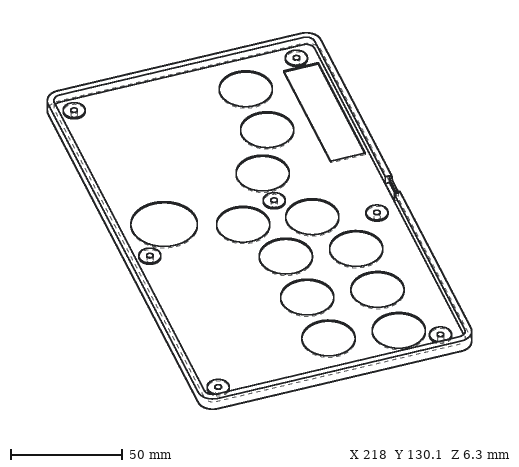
import cadquery as cq

LENGTH = 218.0
WIDTH = 130.1
HEIGHT = 6.3
WALL = 3.0
CORNER_RADIUS = 7.0
INNER_CORNER_RADIUS = CORNER_RADIUS - WALL
FLOOR_THICKNESS = 1.9
BACK_INNER_Y = WIDTH / 2 - WALL

BOSS_DIAMETER = 10.0
BOSS_HEIGHT = 0.8
SCREW_DIAMETER = 3.0
CORNER_SCREW_X = 98.0
BACK_SCREW_Y = 51.95
FRONT_SCREW_Y = -54.05
BACK_MIDDLE_SCREW_X = 11.6
FRONT_MIDDLE_SCREW_X = 5.0
CENTER_SCREW = (-11.45, 11.0)
SCREW_POINTS = [
    (-CORNER_SCREW_X, BACK_SCREW_Y),
    (BACK_MIDDLE_SCREW_X, BACK_SCREW_Y),
    (CORNER_SCREW_X, BACK_SCREW_Y),
    CENTER_SCREW,
    (-CORNER_SCREW_X, FRONT_SCREW_Y),
    (FRONT_MIDDLE_SCREW_X, FRONT_SCREW_Y),
    (CORNER_SCREW_X, FRONT_SCREW_Y),
]

POCKET_DEPTH = 0.8
BUTTON_DIAMETER = 24.0
BUTTON_PITCH = 29.0
RIGHT_ROW_COUNT = 3
LEFT_PAIR_COUNT = 2
UPPER_ROW_START = (30.4, 35.45)
LOWER_ROW_START = (24.75, 3.9)
LEFT_PAIR_START = (-86.8, 23.9)
SINGLE_BUTTONS = [(-31.1, 12.4), (3.8, 23.85), (-1.7, -7.2)]
THUMB_BUTTON_DIAMETER = 30.0
THUMB_BUTTON = (-13.6, -40.7)
BOARD_POCKET_LENGTH = 64.0
BOARD_POCKET_WIDTH = 16.5
BOARD_POCKET_CENTER = (-60.45, 52.15)

NOTCH_WIDTH = 12.0
NOTCH_LIP = 1.0
NOTCH_STEP = 0.2
NOTCH_FLOOR_Z = FLOOR_THICKNESS + NOTCH_STEP
PORT_WIDTH = 10.7
PORT_DIAMETER = 4.6


def button_row(start, count):
    """Centres of a row of equally spaced buttons running along X."""
    return [(start[0] + i * BUTTON_PITCH, start[1]) for i in range(count)]


def make_tray():
    """Rounded rectangular tray with an open top."""
    outer = cq.Workplane("XY").rect(LENGTH, WIDTH).extrude(HEIGHT)
    outer = outer.edges("|Z").fillet(CORNER_RADIUS)
    cavity = (
        cq.Workplane("XY", origin=(0, 0, FLOOR_THICKNESS))
        .rect(LENGTH - 2 * WALL, WIDTH - 2 * WALL)
        .extrude(HEIGHT - FLOOR_THICKNESS)
        .edges("|Z")
        .fillet(INNER_CORNER_RADIUS)
    )
    return outer.cut(cavity)


def floor_plane():
    """Workplane on the tray floor."""
    return cq.Workplane("XY", origin=(0, 0, FLOOR_THICKNESS))


def cut_floor_pockets(body):
    """Cut the round button pockets and the rectangular board pocket."""
    buttons = (
        button_row(UPPER_ROW_START, RIGHT_ROW_COUNT)
        + button_row(LOWER_ROW_START, RIGHT_ROW_COUNT)
        + button_row(LEFT_PAIR_START, LEFT_PAIR_COUNT)
        + SINGLE_BUTTONS
    )
    button_pockets = floor_plane().pushPoints(buttons).circle(BUTTON_DIAMETER / 2).extrude(-POCKET_DEPTH)
    thumb_pocket = floor_plane().center(*THUMB_BUTTON).circle(THUMB_BUTTON_DIAMETER / 2).extrude(-POCKET_DEPTH)
    board_pocket = (
        floor_plane()
        .center(*BOARD_POCKET_CENTER)
        .rect(BOARD_POCKET_LENGTH, BOARD_POCKET_WIDTH)
        .extrude(-POCKET_DEPTH)
    )
    return body.cut(button_pockets).cut(thumb_pocket).cut(board_pocket)


def add_screw_bosses(body):
    """Add the low round bosses and drill each one through the floor."""
    bosses = floor_plane().pushPoints(SCREW_POINTS).circle(BOSS_DIAMETER / 2).extrude(BOSS_HEIGHT)
    holes = cq.Workplane("XY").pushPoints(SCREW_POINTS).circle(SCREW_DIAMETER / 2).extrude(HEIGHT)
    return body.union(bosses).cut(holes)


def cut_connector_notch(body):
    """Recess the back wall from inside and open the remaining lip with half a rounded slot."""
    recess_depth = WALL - NOTCH_LIP
    recess_height = HEIGHT - NOTCH_FLOOR_Z
    recess = cq.Workplane("XY", origin=(0, BACK_INNER_Y, NOTCH_FLOOR_Z)).box(
        NOTCH_WIDTH, recess_depth, recess_height, centered=(True, False, False)
    )
    port = (
        cq.Workplane("XZ", origin=(0, WIDTH / 2, HEIGHT))
        .slot2D(PORT_WIDTH, PORT_DIAMETER)
        .extrude(NOTCH_LIP)
    )
    return body.cut(recess).cut(port)


tray = make_tray()
tray = cut_floor_pockets(tray)
tray = add_screw_bosses(tray)
result = cut_connector_notch(tray)